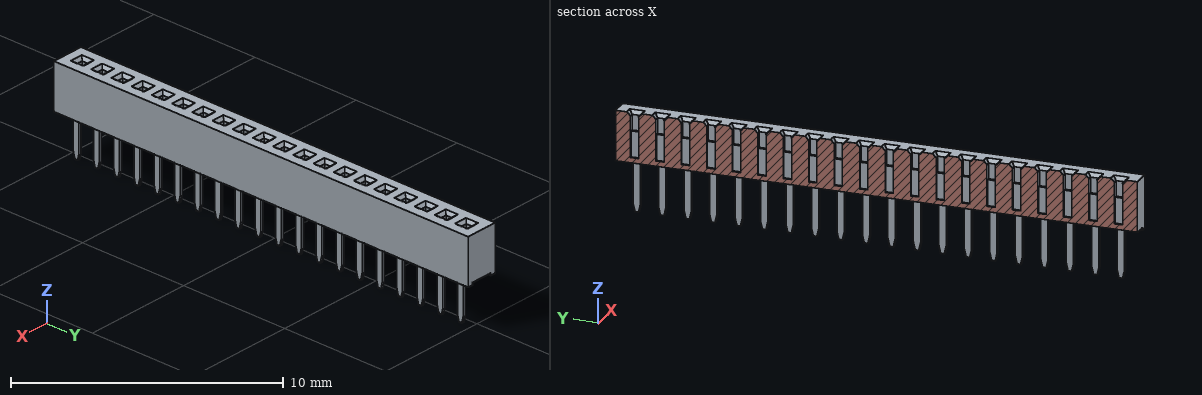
import cadquery as cq

body_length = 20.5
body_width = 1.5
total_height = 4.0
body_height = 2.11

contact_count = 20
end_margin_in_pitches = 0.75
pitch = body_length / (contact_count - 1 + 2 * end_margin_in_pitches)
contact_positions = [(i - (contact_count - 1) / 2) * pitch for i in range(contact_count)]

foot_width = 0.25
channel_depth = 0.1

mouth_size = 0.6
well_size = 0.3
mouth_depth = 0.15
well_depth = 0.62
slot_width = 0.1
slot_depth = 1.02

pin_offset = 0.29
pin_thickness = 0.12
pin_width = 0.29
tip_width = 0.15
tip_height = 0.3

top_z = total_height
foot_z = top_z - body_height
channel_z = foot_z + channel_depth


def make_body():
    """Long housing with a shallow channel along its underside."""
    housing = cq.Workplane("XY").workplane(offset=foot_z).rect(body_width, body_length).extrude(body_height)
    channel = (
        cq.Workplane("XY")
        .workplane(offset=foot_z)
        .rect(body_width - 2 * foot_width, body_length)
        .extrude(channel_depth)
    )
    return housing.cut(channel)


def make_socket(y):
    """Solid to remove for one socket."""
    mouth = (
        cq.Workplane("XY", origin=(0, y, top_z))
        .rect(mouth_size, mouth_size)
        .workplane(offset=-mouth_depth)
        .rect(well_size, well_size)
        .loft(ruled=True)
    )
    well_z = top_z - mouth_depth
    well = cq.Workplane("XY", origin=(0, y, well_z)).rect(well_size, well_size).extrude(-well_depth)
    floor_z = well_z - well_depth
    slot = cq.Workplane("XY", origin=(0, y, floor_z)).rect(slot_width, well_size).extrude(-slot_depth)
    return mouth.union(well).union(slot)


def make_pin(y):
    """Pin hanging from the channel ceiling, its narrowed tip at Z = 0."""
    outline = [
        (y - pin_width / 2, channel_z),
        (y - pin_width / 2, tip_height),
        (y - tip_width / 2, 0),
        (y + tip_width / 2, 0),
        (y + pin_width / 2, tip_height),
        (y + pin_width / 2, channel_z),
    ]
    pin_start = pin_offset - pin_thickness / 2
    return cq.Workplane("YZ", origin=(pin_start, 0, 0)).polyline(outline).close().extrude(pin_thickness)


result = make_body()
for contact_y in contact_positions:
    result = result.cut(make_socket(contact_y)).union(make_pin(contact_y))